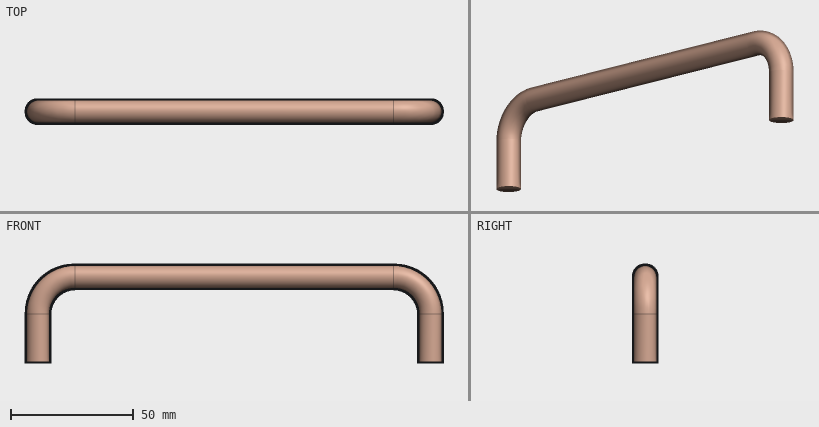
import cadquery as cq

overall_length = 170.0
overall_height = 40.0
bar_diameter = 10.0
outer_bend_radius = 20.0

bar_radius = bar_diameter / 2
bend_radius = outer_bend_radius - bar_radius
leg_x = overall_length / 2 - bar_radius
grip_z = overall_height - bar_radius
leg_length = overall_height - outer_bend_radius
grip_half_length = overall_length / 2 - outer_bend_radius


def make_centreline():
    """Left leg, bend, grip, bend, right leg, starting at the left foot."""
    return (
        cq.Workplane("XZ")
        .moveTo(-leg_x, 0)
        .lineTo(-leg_x, leg_length)
        .radiusArc((-grip_half_length, grip_z), bend_radius)
        .lineTo(grip_half_length, grip_z)
        .radiusArc((leg_x, leg_length), bend_radius)
        .lineTo(leg_x, 0)
    )


foot_section = cq.Workplane("XY").center(-leg_x, 0).circle(bar_radius)
result = foot_section.sweep(make_centreline())